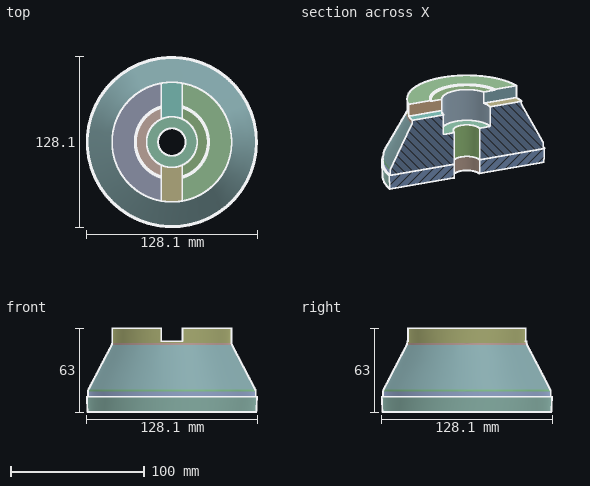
import cadquery as cq
import math

total_height = 63.0
through_hole_diameter = 20.5

base_height = 11.5
base_top_diameter = 128.1
base_bottom_diameter = 127.1
base_edge_radius = 0.5

skirt_diameter = 126.2
neck_diameter = 90.0
neck_corner_height = 51.0
cone_half_angle = 27.5
blend_radius = 3.1
bore_diameter = 38.0
bore_depth = 25.8
recess_top_diameter = 56.1
recess_floor_diameter = 53.8
recess_depth = 0.6
slot_width = 15.8
slot_depth = 9.7

skirt_radius = skirt_diameter / 2
neck_radius = neck_diameter / 2
cone_drop = (skirt_radius - neck_radius) / math.tan(math.radians(cone_half_angle))
skirt_corner_height = neck_corner_height - cone_drop


def revolve_profile(points):
    """Turn a closed outline of (radius, height) points about the Z axis."""
    return cq.Workplane("XZ").polyline(points).close().revolve(360, (0, 0, 0), (0, 1, 0))


def cylinder(diameter, bottom, top):
    return cq.Workplane("XY").workplane(offset=bottom).circle(diameter / 2).extrude(top - bottom)


def make_base():
    """Tapered disc with a rounded lower edge and a central hole."""
    disc = revolve_profile([
        (0, 0),
        (base_bottom_diameter / 2, 0),
        (base_top_diameter / 2, base_height),
        (0, base_height),
    ])
    disc = disc.faces("<Z").edges().fillet(base_edge_radius)
    return disc.cut(cylinder(through_hole_diameter, 0, base_height))


def make_housing_blank():
    """Skirt, cone and neck, with rounded transitions at both ends of the cone."""
    blank = revolve_profile([
        (0, base_height),
        (skirt_radius, base_height),
        (skirt_radius, skirt_corner_height),
        (neck_radius, neck_corner_height),
        (neck_radius, total_height),
        (0, total_height),
    ])
    return blank.faces("%CONE").edges("%CIRCLE").fillet(blend_radius)


def make_recess():
    """Shallow recess in the top face, with a sloping wall."""
    floor_height = total_height - recess_depth
    return revolve_profile([
        (0, floor_height),
        (recess_floor_diameter / 2, floor_height),
        (recess_top_diameter / 2, total_height),
        (0, total_height),
    ])


def make_slot():
    """Driving slot running along Y across the whole neck."""
    return (
        cq.Workplane("XY")
        .workplane(offset=total_height - slot_depth)
        .rect(slot_width, neck_diameter)
        .extrude(slot_depth)
    )


def make_housing():
    return (
        make_housing_blank()
        .cut(cylinder(through_hole_diameter, base_height, total_height))
        .cut(cylinder(bore_diameter, total_height - bore_depth, total_height))
        .cut(make_recess())
        .cut(make_slot())
    )


base = make_base()
housing = make_housing()
result = cq.Compound.makeCompound([base.val(), housing.val()])